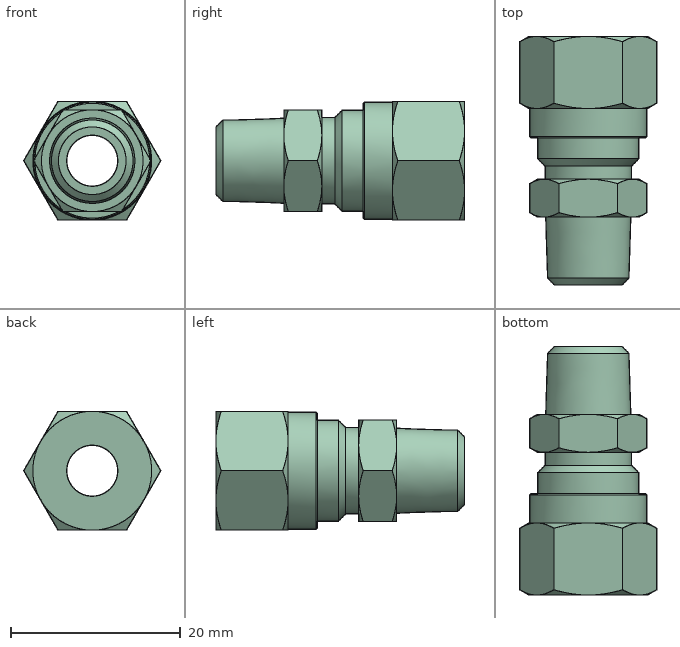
import cadquery as cq
import math

tip_chamfer_end = 0.82
thread_end = 8.0
body_hex_end = 12.5
neck_end = 14.01
shoulder_end = 14.9
sleeve_end = 17.35
collar_end = 20.82
total_length = 29.32

bore_radius = 3.0
tip_radius = 4.0
thread_front_radius = 4.8
thread_taper = 1 / 32
thread_back_radius = thread_front_radius + thread_taper * (thread_end - tip_chamfer_end)
neck_radius = 5.1
sleeve_radius = 5.98
collar_radius = 6.92
collar_chamfer = 0.15

body_hex_flats = 12.0
nut_hex_flats = 14.01
hex_chamfer_angle = 30


def chamfered_hex(across_flats, front, back):
    """Hexagon along Y, corners on +X and -X, turned conically at both ends."""
    corner_radius = across_flats / math.sqrt(3)
    face_radius = across_flats / 2
    depth = (corner_radius - face_radius) * math.tan(math.radians(hex_chamfer_angle))
    prism = (
        cq.Workplane("XZ", origin=(0, front, 0))
        .polygon(6, 2 * corner_radius)
        .extrude(front - back)
    )
    envelope = revolved([
        (0, front),
        (face_radius, front),
        (corner_radius, front + depth),
        (corner_radius, back - depth),
        (face_radius, back),
        (0, back),
    ])
    return prism.intersect(envelope)


def revolved(profile):
    """Turn a closed (radius, Y) profile about the Y axis."""
    return cq.Workplane("XY").polyline(profile).close().revolve(360, (0, 0, 0), (0, 1, 0))


turned_body = revolved([
    (0, 0),
    (tip_radius, 0),
    (thread_front_radius, tip_chamfer_end),
    (thread_back_radius, thread_end),
    (neck_radius, thread_end),
    (neck_radius, neck_end),
    (sleeve_radius, shoulder_end),
    (sleeve_radius, sleeve_end),
    (collar_radius - collar_chamfer, sleeve_end),
    (collar_radius, sleeve_end + collar_chamfer),
    (collar_radius, collar_end),
    (0, collar_end),
])

body_hex = chamfered_hex(body_hex_flats, thread_end, body_hex_end)
nut_hex = chamfered_hex(nut_hex_flats, collar_end, total_length)
bore = cq.Workplane("XZ").circle(bore_radius).extrude(-total_length)

result = turned_body.union(body_hex).union(nut_hex).cut(bore)